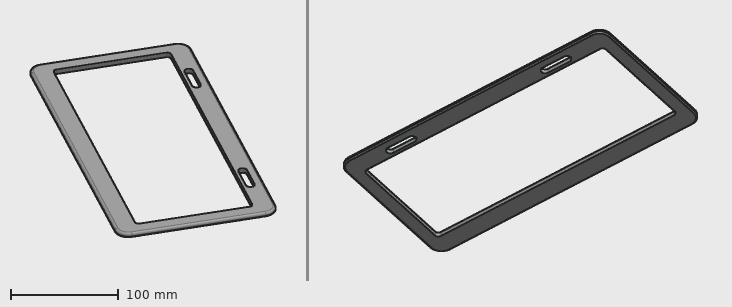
import cadquery as cq

length = 307.3
width = 155.0
thickness = 5.2
corner_radius = 13.0
top_edge_radius = 2.8
bottom_chamfer = 1.5

window_length = 278.8
window_width = 113.0
window_corner_radius = 3.7

slot_length = 33.5
slot_width = 8.3
slot_spacing = 180.0
slot_y = 64.2


def make_plate():
    """Rounded rectangular plate with a rounded top edge and chamfered bottom edge."""
    plate = cq.Workplane("XY").rect(length, width).extrude(thickness)
    plate = plate.edges("|Z").fillet(corner_radius)
    plate = plate.faces(">Z").edges().fillet(top_edge_radius)
    return plate.faces("<Z").edges().chamfer(bottom_chamfer)


def make_window():
    """Cutter for the window with small rounded corners."""
    window = cq.Workplane("XY").rect(window_length, window_width).extrude(thickness)
    return window.edges("|Z").fillet(window_corner_radius)


def make_slots():
    """Cutter for the pair of round-ended mounting slots."""
    centres = [(side * slot_spacing / 2, slot_y) for side in (-1, 1)]
    return (
        cq.Workplane("XY")
        .pushPoints(centres)
        .slot2D(slot_length, slot_width)
        .extrude(thickness)
    )


result = make_plate().cut(make_window()).cut(make_slots())